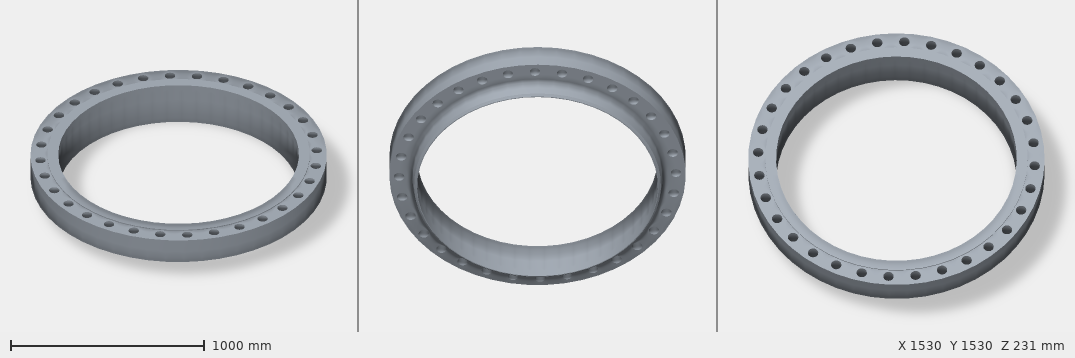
import cadquery as cq
import math

flange_diameter = 1530.0
bore_diameter = 1243.0
total_height = 231.0

raised_face_diameter = 1356.0
raised_face_height = 5.0

flange_thickness = 136.0

hub_top_diameter = 1301.0
hub_bottom_diameter = 1275.0
hub_fillet_radius = 17.0
bevel_height = 10.0
weld_land_diameter = 1252.0

bolt_count = 32
bolt_circle_diameter = 1430.0
bolt_hole_diameter = 54.0

flange_top = total_height - raised_face_height
flange_bottom = flange_top - flange_thickness

taper_angle = math.atan2(
    (hub_top_diameter - hub_bottom_diameter) / 2,
    flange_bottom - bevel_height,
)


def ring_body():
    """Revolve the half section of the flange, raised face and hub about Z."""
    tangent_length = hub_fillet_radius * math.tan((math.pi / 2 - taper_angle) / 2)
    hub_top_radius = hub_top_diameter / 2
    fillet_outer = (hub_top_radius + tangent_length, flange_bottom)
    fillet_inner = (
        hub_top_radius - tangent_length * math.sin(taper_angle),
        flange_bottom - tangent_length * math.cos(taper_angle),
    )
    mid_angle = (math.pi / 2 + math.pi - taper_angle) / 2
    fillet_middle = (
        fillet_outer[0] + hub_fillet_radius * math.cos(mid_angle),
        flange_bottom - hub_fillet_radius + hub_fillet_radius * math.sin(mid_angle),
    )
    return (
        cq.Workplane("XZ")
        .moveTo(bore_diameter / 2, 0)
        .lineTo(weld_land_diameter / 2, 0)
        .lineTo(hub_bottom_diameter / 2, bevel_height)
        .lineTo(*fillet_inner)
        .threePointArc(fillet_middle, fillet_outer)
        .lineTo(flange_diameter / 2, flange_bottom)
        .lineTo(flange_diameter / 2, flange_top)
        .lineTo(raised_face_diameter / 2, flange_top)
        .lineTo(raised_face_diameter / 2, total_height)
        .lineTo(bore_diameter / 2, total_height)
        .close()
        .revolve(360, (0, 0, 0), (0, 1, 0))
    )


def bolt_holes():
    """Cylinders through the flange, evenly spaced on the bolt circle from +X."""
    return (
        cq.Workplane("XY")
        .workplane(offset=flange_bottom)
        .polarArray(bolt_circle_diameter / 2, 0, 360, bolt_count)
        .circle(bolt_hole_diameter / 2)
        .extrude(flange_thickness)
    )


result = ring_body().cut(bolt_holes())